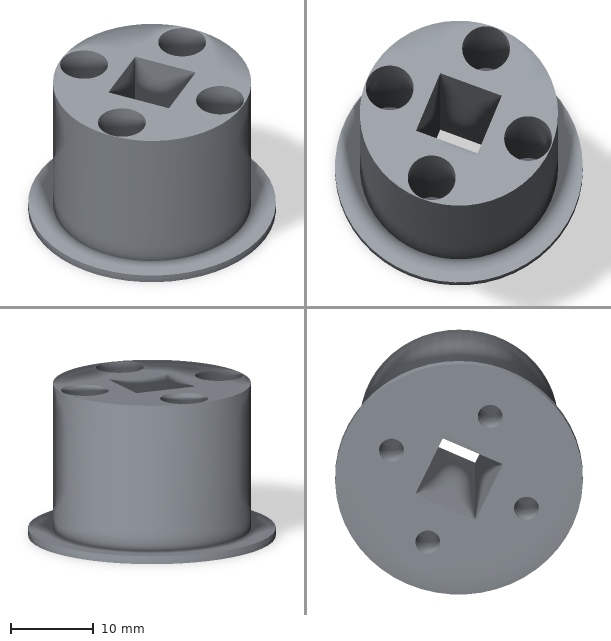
import cadquery as cq

flange_diameter = 30.0
flange_thickness = 1.0
hub_diameter = 24.0
total_height = 19.0

square_side = 8.0

screw_count = 4
screw_circle_radius = 9.0
screw_hole_diameter = 3.0
counterbore_diameter = 5.8
counterbore_depth = 14.0
counterbore_floor = total_height - counterbore_depth


def make_body():
    """Flange with the hub standing on it, underside at Z = 0."""
    flange = cq.Workplane("XY").circle(flange_diameter / 2).extrude(flange_thickness)
    hub = cq.Workplane("XY").circle(hub_diameter / 2).extrude(total_height)
    return flange.union(hub)


def make_screw_cutters(diameter, bottom):
    """Cylinders at the screw positions, from the given height to the hub top."""
    return (
        cq.Workplane("XY", origin=(0, 0, bottom))
        .polarArray(screw_circle_radius, 0, 360, screw_count)
        .circle(diameter / 2)
        .extrude(total_height - bottom)
    )


square_opening = cq.Workplane("XY").rect(square_side, square_side).extrude(total_height)

result = (
    make_body()
    .cut(square_opening)
    .cut(make_screw_cutters(screw_hole_diameter, 0))
    .cut(make_screw_cutters(counterbore_diameter, counterbore_floor))
)